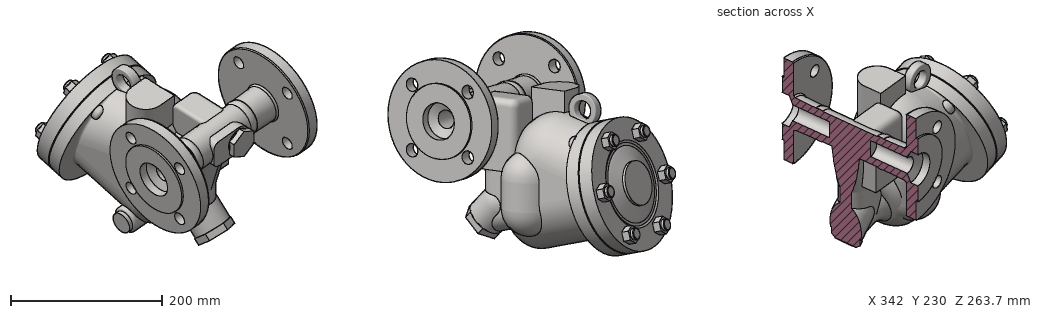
import math

import cadquery as cq


FACE_TO_FACE = 230.0
FLANGE_RADIUS = 82.5
FLANGE_THICKNESS = 17.0
FLANGE_CHAMFER = 2.0
FLANGE_CHAMFER_RADIAL = 1.0
RAISED_FACE_RADIUS = 51.0
RAISED_FACE_HEIGHT = 3.0
FLANGE_HOLE_RADIUS = 9.0
FLANGE_HOLE_CIRCLE = 125.0
NECK_ROOT_RADIUS = 28.5
NECK_RADIUS = 26.6
NECK_START_RADIUS = 25.7
NECK_ROOT_LENGTH = 3.0
PIPE_RADIUS = 25.0
BEAD_RADIUS = 53.0 / 2
BEAD_INNER_Y = 46.0
BEAD_OUTER_Y = 57.5
BORE_RADIUS = 25.0
BORE_DEPTH = 12.0
PORT_RADIUS = 12.5
PORT_START_DEPTH = 18.0
PORT_END_DEPTH = 80.0

TILT = 15.0
BODY_Y = -7.3
COVER_CENTRE = (-225.8, BODY_Y, -79.6)
COVER_RADIUS = 90.0
COVER_THICKNESS = 21.0
GASKET_THICKNESS = 1.2
GASKET_RADIUS = COVER_RADIUS - 0.6
BODY_FLANGE_BACK = 41.5
FLANGE_CORNER_FILLET = 3.0
PLACE_TOLERANCE = 0.01
SHELL_RADIUS = 63.0
SHELL_LENGTH = 180.5
SHELL_END_FILLET = 26.5
SHELL_START = 30.0

DOME_CENTRE = (-114.0, BODY_Y, -57.0)
BARREL_LENGTH = 85.0
WALL_FOOT = 120.0

GROOVE_OUTER_RADIUS = 59.0
GROOVE_FLOOR_OUTER_RADIUS = 56.0
GROOVE_FLOOR_INNER_RADIUS = 52.0
GROOVE_DEPTH = 1.5
CONE_BASE_RADIUS = 48.5
CONE_HEIGHT = 6.5
DISC_RADIUS = 30.0
DISC_TOP = 10.5

STUD_COUNT = 6
STUD_CIRCLE_RADIUS = 73.2
STUD_RADIUS = 8.0
STUD_OVERLAP = 1.0
STUD_CHAMFER = 1.0
STUD_HEIGHT = 16.0
NUT_ACROSS_FLATS = 21.0
NUT_HEIGHT = 11.0
STUD_BOSS_CIRCLE_RADIUS = 78.0
STUD_BOSS_RADIUS = 11.0
STUD_BOSS_LENGTH = 12.0

EYE_CENTRE = (-150.9, BODY_Y, 12.6)
EYE_RADIUS = 22.0
EYE_HOLE_RADIUS = 12.5
EYE_WIDTH = 13.0
EYE_EDGE_FILLET = 1.5

BOSS_TOP_Z = 34.5
BOSS_BOTTOM_Z = -50.0
BOSS_CENTRE = (-95.0, -30.0)
BOSS_RADIUS = 26.3
BOSS_FLAT_Y = -3.0
BOX_X = (-70.5, -8.0)
BOX_Y = (-7.0, 37.3)
BOX_Z = (-75.0, 22.4)
BOX_CORNER_FILLET = 11.0
BOX_TOP_FILLET = 10.0
BOX_FRONT_FILLET = 5.0

DRAIN_X = -94.6
DRAIN_Z = -158.5
DRAIN_RADIUS = 19.0
DRAIN_FILLET = 4.0
DRAIN_END_Y = -71.5
DRAIN_PAD_RADIUS = 15.0
DRAIN_PAD_END_Y = -77.5

BULGE_X = -90.0
BULGE_Y = 32.6
BULGE_RADIUS = 38.0
BULGE_Z = (-120.0, -80.0)

PASSAGE_RADIUS = 23.0
PASSAGE_OFFSET = -6.8
PASSAGE_LENGTH = 225.0
FLARE_START = (44.0, 176.0)
FLARE_MIDDLE = (29.5, 184.5)
FLARE_END = (PASSAGE_RADIUS, 198.0)
RISER_X = -20.5
RISER_KNEE_Z = -85.0
WEB_CROWN_Z = -46.0
BRANCH_ANGLE = 45.0
BRANCH_RADIUS = 27.0
BRANCH_LENGTH = 43.0
PLUG_CENTRE = (12.6, BODY_Y, -158.2)
PLUG_ACROSS_FLATS = 48.5
PLUG_HEIGHT = 10.7

SIDE_PLUG_Y = 18.3
SIDE_PAD_END_X = 27.0
SIDE_PAD_RADIUS = 21.5
SIDE_PAD_MIN_Y = -27.8
SIDE_PAD_CORNER = 10.0
SIDE_COLLAR_RADIUS = 18.0
SIDE_COLLAR_END_X = 29.5
SIDE_HEX_ACROSS_FLATS = 38.0
SIDE_HEX_END_X = 38.0


def direction(angle):
    """Unit vector in the XZ plane, pointing down from +X by the angle in degrees."""
    return cq.Vector(math.cos(math.radians(angle)), 0, -math.sin(math.radians(angle)))


def plane_along(origin, normal):
    """Plane across the normal, with its local x along world Y."""
    return cq.Plane(origin=origin, xDir=(0, 1, 0), normal=normal)


BODY_AXIS = direction(TILT)
BODY_PLANE = plane_along(COVER_CENTRE, BODY_AXIS)
ELBOW_CENTRE = cq.Vector(*PLUG_CENTRE) - direction(BRANCH_ANGLE) * BRANCH_LENGTH


def body_section(s):
    """Workplane across the body axis, at distance s behind the cover face."""
    return cq.Workplane(BODY_PLANE).workplane(offset=s)


def hexagon(workplane, across_flats, height):
    """Hexagonal prism with one corner pointing along the local y direction."""
    across_corners = across_flats / math.cos(math.pi / 6)
    corners = [
        (
            across_corners / 2 * math.sin(i * math.pi / 3),
            across_corners / 2 * math.cos(i * math.pi / 3),
        )
        for i in range(6)
    ]
    return workplane.polyline(corners).close().extrude(height)


def pipe_half():
    """The +Y half of the pipe with its neck and flange, as a turned profile."""
    face = FACE_TO_FACE / 2
    front = face - RAISED_FACE_HEIGHT
    back = front - FLANGE_THICKNESS
    bead_middle = (BEAD_INNER_Y + BEAD_OUTER_Y) / 2
    half = (
        cq.Workplane("XY")
        .moveTo(0, 0)
        .lineTo(PIPE_RADIUS, 0)
        .lineTo(PIPE_RADIUS, BEAD_INNER_Y)
        .threePointArc((BEAD_RADIUS, bead_middle), (PIPE_RADIUS, BEAD_OUTER_Y))
        .lineTo(NECK_START_RADIUS, BEAD_OUTER_Y)
        .lineTo(NECK_RADIUS, back - NECK_ROOT_LENGTH)
        .lineTo(NECK_ROOT_RADIUS, back)
        .lineTo(FLANGE_RADIUS - FLANGE_CHAMFER_RADIAL, back)
        .lineTo(FLANGE_RADIUS, back + FLANGE_CHAMFER)
        .lineTo(FLANGE_RADIUS, front)
        .lineTo(RAISED_FACE_RADIUS, front)
        .lineTo(RAISED_FACE_RADIUS, face)
        .lineTo(0, face)
        .close()
        .revolve(360, (0, 0, 0), (0, 1, 0))
    )
    hole_spacing = FLANGE_HOLE_CIRCLE / math.sqrt(2)
    holes = (
        cq.Workplane("XZ", origin=(0, face, 0))
        .rect(hole_spacing, hole_spacing, forConstruction=True)
        .vertices()
        .circle(FLANGE_HOLE_RADIUS)
        .extrude(face - back)
    )
    return half.cut(holes)


def port_half():
    """The +Y port: a short bore, a cone and a blind hole."""
    face = FACE_TO_FACE / 2
    return (
        cq.Workplane("XY")
        .moveTo(0, face)
        .lineTo(BORE_RADIUS, face)
        .lineTo(BORE_RADIUS, face - BORE_DEPTH)
        .lineTo(PORT_RADIUS, face - PORT_START_DEPTH)
        .lineTo(PORT_RADIUS, face - PORT_END_DEPTH)
        .lineTo(0, face - PORT_END_DEPTH)
        .close()
        .revolve(360, (0, 0, 0), (0, 1, 0))
    )


def both_ends(half):
    """A +Y half joined to its mirror image."""
    return half.union(half.mirror("XZ"))


def cover():
    """Cover, gasket and body flange, turned about the body axis."""
    gasket_end = COVER_THICKNESS + GASKET_THICKNESS
    profile = [
        (0, -DISC_TOP),
        (DISC_RADIUS, -DISC_TOP),
        (DISC_RADIUS, -CONE_HEIGHT),
        (CONE_BASE_RADIUS, 0),
        (GROOVE_FLOOR_INNER_RADIUS, GROOVE_DEPTH),
        (GROOVE_FLOOR_OUTER_RADIUS, GROOVE_DEPTH),
        (GROOVE_OUTER_RADIUS, 0),
        (COVER_RADIUS, 0),
        (COVER_RADIUS, COVER_THICKNESS),
        (GASKET_RADIUS, COVER_THICKNESS),
        (GASKET_RADIUS, gasket_end),
        (COVER_RADIUS, gasket_end),
        (COVER_RADIUS, BODY_FLANGE_BACK),
        (0, BODY_FLANGE_BACK),
    ]
    turned = cq.Workplane("XZ").polyline(profile).close().revolve(360, (0, 0, 0), (0, 1, 0))
    return cq.Workplane(turned.val().moved(BODY_PLANE.location))


def stud_places(radius):
    """Local places at the stud angles on a circle; two of them lie level with the centre."""
    angles = [i * 2 * math.pi / STUD_COUNT for i in range(STUD_COUNT)]
    return [(radius * math.cos(a), radius * math.sin(a)) for a in angles]


def studs():
    """Stud ends with their nuts on the cover face."""
    joined = None
    for y, t in stud_places(STUD_CIRCLE_RADIUS):
        stud_start = body_section(-STUD_HEIGHT).center(y, t)
        stud = stud_start.circle(STUD_RADIUS).extrude(STUD_HEIGHT + STUD_OVERLAP)
        stud = stud.faces("<X").edges().chamfer(STUD_CHAMFER)
        nut_start = body_section(-NUT_HEIGHT).center(y, t)
        nut = hexagon(nut_start, NUT_ACROSS_FLATS, NUT_HEIGHT + STUD_OVERLAP)
        fastener = stud.union(nut)
        joined = fastener if joined is None else joined.union(fastener)
    return joined


def stud_bosses():
    """Rounded bosses behind the two upper studs."""
    places = [(y, t) for y, t in stud_places(STUD_BOSS_CIRCLE_RADIUS) if t > STUD_RADIUS]
    length = BODY_FLANGE_BACK - SHELL_START + STUD_BOSS_LENGTH
    bosses = body_section(SHELL_START).pushPoints(places).circle(STUD_BOSS_RADIUS).extrude(length)
    return bosses.faces(">X").edges().fillet(STUD_BOSS_RADIUS / 2)


def shell():
    """Tilted lower shell with its rounded end."""
    tube = body_section(SHELL_START).circle(SHELL_RADIUS).extrude(SHELL_LENGTH - SHELL_START)
    return tube.faces(">X").edges().fillet(SHELL_END_FILLET)


def dome():
    """Spherical dome with a barrel to the flange and straight walls down to the shell."""
    ball = cq.Workplane("XY").sphere(SHELL_RADIUS).translate(DOME_CENTRE)
    barrel_axis = direction(180 - TILT)
    barrel_start = cq.Workplane(plane_along(DOME_CENTRE, barrel_axis))
    barrel = barrel_start.circle(SHELL_RADIUS).extrude(BARREL_LENGTH)
    reach = 2 * BARREL_LENGTH
    beyond_flange = body_section(SHELL_START).circle(reach).extrude(-reach)
    barrel = barrel.cut(beyond_flange)
    foot = cq.Vector(*BODY_PLANE.toWorldCoords((0, 0, WALL_FOOT)).toTuple())
    centre = cq.Vector(*DOME_CENTRE)
    down = foot - centre
    wall = cq.Workplane(plane_along(DOME_CENTRE, down)).circle(SHELL_RADIUS).extrude(down.Length)
    start = BODY_PLANE.toWorldCoords((0, 0, SHELL_START))
    barrel_end = centre + barrel_axis * BARREL_LENGTH
    sides = (
        cq.Workplane("XZ", origin=(0, BODY_Y, 0))
        .polyline([(p.x, p.z) for p in (centre, foot, start, barrel_end)])
        .close()
        .extrude(SHELL_RADIUS, both=True)
        .cut(beyond_flange)
    )
    return ball.union(barrel).union(wall).union(sides)


def with_flange_fillet(casting):
    """Round the corner where the body walls meet the back of the body flange."""

    def in_corner(edge):
        depth = (edge.Center() - BODY_PLANE.origin).dot(BODY_AXIS)
        is_rim = edge.BoundingBox().ylen > SHELL_RADIUS + COVER_RADIUS
        return abs(depth - BODY_FLANGE_BACK) < PLACE_TOLERANCE and not is_rim

    corner = [edge for edge in casting.edges().vals() if in_corner(edge)]
    return casting.newObject(corner).fillet(FLANGE_CORNER_FILLET)


def lifting_eye():
    """Ring standing on the crest of the body."""
    return (
        cq.Workplane("XZ", origin=EYE_CENTRE)
        .circle(EYE_RADIUS)
        .circle(EYE_HOLE_RADIUS)
        .extrude(EYE_WIDTH / 2, both=True)
        .edges()
        .fillet(EYE_EDGE_FILLET)
    )


def d_boss():
    """D-shaped boss with its flat towards +Y."""
    x, y = BOSS_CENTRE
    return (
        cq.Workplane("XY", origin=(x, y, BOSS_BOTTOM_Z))
        .moveTo(-BOSS_RADIUS, BOSS_FLAT_Y - y)
        .lineTo(-BOSS_RADIUS, 0)
        .threePointArc((0, -BOSS_RADIUS), (BOSS_RADIUS, 0))
        .lineTo(BOSS_RADIUS, BOSS_FLAT_Y - y)
        .close()
        .extrude(BOSS_TOP_Z - BOSS_BOTTOM_Z)
    )


def valve_box():
    """Rounded box between the dome and the pipe."""
    size = [b - a for a, b in (BOX_X, BOX_Y, BOX_Z)]
    return (
        cq.Workplane("XY")
        .box(*size, centered=False)
        .translate((BOX_X[0], BOX_Y[0], BOX_Z[0]))
        .edges("|Z and <X and >Y")
        .fillet(BOX_CORNER_FILLET)
        .faces(">Z")
        .edges("not (>X or <Y)")
        .fillet(BOX_TOP_FILLET)
        .edges(">Z and <Y")
        .fillet(BOX_FRONT_FILLET)
    )


def drain_boss():
    """Round boss towards -Y with a flat pad on its end."""
    start = cq.Workplane("XZ", origin=(DRAIN_X, BODY_Y, DRAIN_Z))
    boss = start.circle(DRAIN_RADIUS).extrude(BODY_Y - DRAIN_END_Y)
    boss = boss.faces("<Y").edges().fillet(DRAIN_FILLET)
    return boss.union(start.circle(DRAIN_PAD_RADIUS).extrude(BODY_Y - DRAIN_PAD_END_Y))


def seat_bulge():
    """Upright capsule that swells out of the +Y side."""
    low, high = BULGE_Z
    bulge = cq.Workplane("XY", origin=(BULGE_X, BULGE_Y, low)).circle(BULGE_RADIUS).extrude(high - low)
    for z in BULGE_Z:
        bulge = bulge.union(cq.Workplane("XY").sphere(BULGE_RADIUS).translate((BULGE_X, BULGE_Y, z)))
    return bulge


def outlet():
    """Passage behind the shell, the riser to the pipe and the round-topped web between them."""
    start = SHELL_LENGTH - SHELL_END_FILLET
    passage = (
        body_section(start)
        .center(0, PASSAGE_OFFSET)
        .circle(PASSAGE_RADIUS)
        .extrude(PASSAGE_LENGTH - start)
    )
    upper_riser = (
        cq.Workplane("XY", origin=(RISER_X, BODY_Y, RISER_KNEE_Z))
        .circle(PASSAGE_RADIUS)
        .workplane(offset=-RISER_KNEE_Z)
        .center(-RISER_X, 0)
        .circle(PIPE_RADIUS)
        .loft()
    )
    lower_riser = (
        cq.Workplane("XY", origin=(RISER_X, BODY_Y, ELBOW_CENTRE.z))
        .circle(PASSAGE_RADIUS)
        .extrude(RISER_KNEE_Z - ELBOW_CENTRE.z)
    )
    near = BODY_PLANE.toWorldCoords((0, PASSAGE_OFFSET, start))
    far = BODY_PLANE.toWorldCoords((0, PASSAGE_OFFSET, PASSAGE_LENGTH))
    corners = [
        (near.x, near.z),
        (far.x, far.z),
        (RISER_X, ELBOW_CENTRE.z),
        (RISER_X, WEB_CROWN_Z),
        (near.x, WEB_CROWN_Z),
    ]
    web = (
        cq.Workplane("XZ", origin=(0, BODY_Y, 0))
        .polyline(corners)
        .close()
        .extrude(PASSAGE_RADIUS, both=True)
    )
    crown = (
        cq.Workplane(plane_along((near.x, BODY_Y, WEB_CROWN_Z), (1, 0, 0)))
        .circle(PASSAGE_RADIUS)
        .extrude(RISER_X - near.x)
    )
    web = web.union(crown)
    return passage.union(upper_riser).union(lower_riser).union(web)


def passage_flare():
    """Hollow-curved flare where the passage leaves the shell; its points are (radius, depth)."""
    turned = (
        cq.Workplane("XZ")
        .moveTo(0, FLARE_START[1])
        .lineTo(*FLARE_START)
        .threePointArc(FLARE_MIDDLE, FLARE_END)
        .lineTo(0, FLARE_END[1])
        .close()
        .revolve(360, (0, 0, 0), (0, 1, 0))
    )
    return cq.Workplane(turned.translate((0, PASSAGE_OFFSET, 0)).val().moved(BODY_PLANE.location))


def strainer_branch():
    """Branch sloping down towards +X, closed by a hexagonal plug."""
    axis = direction(BRANCH_ANGLE)
    plug_start = cq.Workplane(plane_along(PLUG_CENTRE, axis)).workplane(offset=-PLUG_HEIGHT)
    plug = hexagon(plug_start, PLUG_ACROSS_FLATS, PLUG_HEIGHT)
    branch = plug_start.circle(BRANCH_RADIUS).extrude(PLUG_HEIGHT - BRANCH_LENGTH)
    elbow = cq.Workplane("XY").sphere(BRANCH_RADIUS).translate(ELBOW_CENTRE)
    return branch.union(elbow).union(plug)


def side_plug():
    """Pad on the +X side of the pipe with a collar and a hexagonal plug."""
    across = cq.Workplane(plane_along((0, 0, 0), (1, 0, 0)))
    top = SIDE_PAD_RADIUS
    pad = (
        across.moveTo(SIDE_PLUG_Y, top)
        .threePointArc((SIDE_PLUG_Y + top, 0), (SIDE_PLUG_Y, -top))
        .lineTo(SIDE_PAD_MIN_Y, -top)
        .lineTo(SIDE_PAD_MIN_Y, top)
        .close()
        .extrude(SIDE_PAD_END_X)
        .edges("|X and <Y")
        .fillet(SIDE_PAD_CORNER)
    )
    centre = across.center(SIDE_PLUG_Y, 0)
    collar = centre.circle(SIDE_COLLAR_RADIUS).extrude(SIDE_COLLAR_END_X)
    hex_start = centre.workplane(offset=SIDE_COLLAR_END_X)
    plug = hexagon(hex_start, SIDE_HEX_ACROSS_FLATS, SIDE_HEX_END_X - SIDE_COLLAR_END_X)
    return pad.union(collar).union(plug)


body = with_flange_fillet(shell().union(dome()).union(cover()))
for feature in (
    studs(),
    stud_bosses(),
    drain_boss(),
    seat_bulge(),
    outlet(),
    passage_flare(),
    strainer_branch(),
    valve_box(),
    d_boss(),
    lifting_eye(),
    side_plug(),
    both_ends(pipe_half()),
):
    body = body.union(feature)
result = body.cut(both_ends(port_half()))